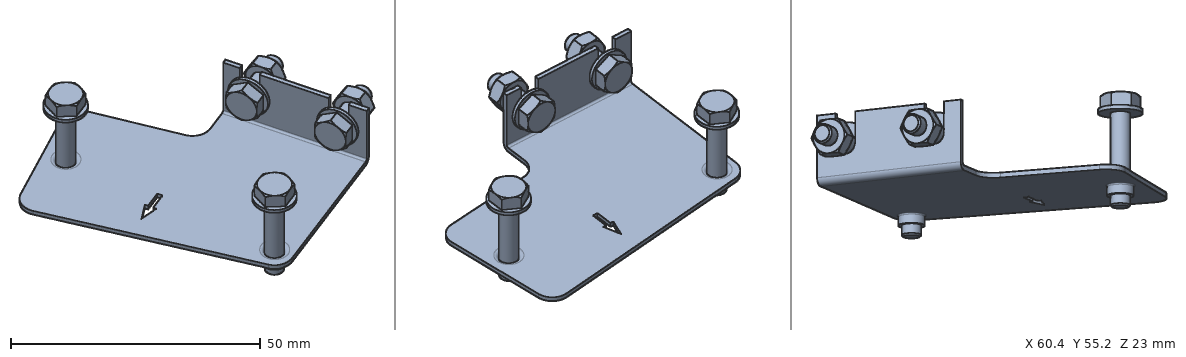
import cadquery as cq
import math


DIAGONAL = math.sqrt(0.5)

SHEET = 1.0
FLANGE_WIDTH = 32.35
FLANGE_HEIGHT = 14.25
BEND_INNER_RADIUS = 0.5
BEND_OUTER_RADIUS = BEND_INNER_RADIUS + SHEET

REAR_LEFT_CORNER = (-28.4, -13.7)
LEFT_EDGE_LENGTH = 32.05
SIDE_TILT = math.radians(7)
FRONT_TILT = math.radians(8)
CORNER_RADIUS = 4.0

ARROW_TAIL_Y = -29.0
ARROW_LENGTH = 8.15
ARROW_HEAD_LENGTH = 4.05
ARROW_HEAD_WIDTH = 2.6
ARROW_SHAFT_WIDTH = 1.15

SHANK_DIAMETER = 4.0
TIP_CHAMFER = 0.35
HEX_ACROSS_FLATS = 7.0
HEAD_HEIGHT = 2.95
NUT_HEIGHT = 3.2
WASHER_DIAMETER = 9.0
WASHER_THICKNESS = 0.8
HEX_BEVEL_ANGLE = math.radians(30)

PLATE_SCREW_LENGTH = 20.0
PLATE_SCREW_TIP_Z = -4.4
PLATE_SCREW_POSITIONS = [(-21.7, -28.05), (28.0, -33.35)]
COLLAR_DIAMETER = 5.4
COLLAR_HEIGHT = 2.1
COLLAR_FILLET = 0.3
COLLAR_ENTRY_RADIUS = SHEET

FLANGE_SCREW_LENGTH = 12.0
FLANGE_SCREW_Z = 7.9
FIRST_FLANGE_SCREW_X = 6.0
FLANGE_SCREW_PITCH = 20.0
FLANGE_SCREW_X = [FIRST_FLANGE_SCREW_X, FIRST_FLANGE_SCREW_X + FLANGE_SCREW_PITCH]
SLOT_WIDTH = 4.5
NUT_GAP = 4.05


def plate():
    """Flat plate with rounded corners, up to the start of the bend at its rear edge."""
    rear_left_x, rear_left_y = REAR_LEFT_CORNER
    inner_corner = (0, rear_left_y - rear_left_x * math.tan(SIDE_TILT))
    front_left = (
        rear_left_x + LEFT_EDGE_LENGTH * math.sin(SIDE_TILT),
        rear_left_y - LEFT_EDGE_LENGTH * math.cos(SIDE_TILT),
    )
    front_run = FLANGE_WIDTH - front_left[0]
    front_right = (FLANGE_WIDTH, front_left[1] + front_run * math.tan(FRONT_TILT))
    outline = [
        (0, -BEND_OUTER_RADIUS),
        inner_corner,
        REAR_LEFT_CORNER,
        front_left,
        front_right,
        (FLANGE_WIDTH, -BEND_OUTER_RADIUS),
    ]
    body = cq.Workplane("XY").polyline(outline).close().extrude(SHEET)
    return body.edges("|Z and (not >Y)").fillet(CORNER_RADIUS)


def flange():
    """Bend and upright flange, swept along X from their side profile."""
    bend_center = (-BEND_OUTER_RADIUS, BEND_OUTER_RADIUS)
    outer_mid = (
        bend_center[0] + BEND_OUTER_RADIUS * DIAGONAL,
        bend_center[1] - BEND_OUTER_RADIUS * DIAGONAL,
    )
    inner_mid = (
        bend_center[0] + BEND_INNER_RADIUS * DIAGONAL,
        bend_center[1] - BEND_INNER_RADIUS * DIAGONAL,
    )
    return (
        cq.Workplane("YZ")
        .moveTo(-BEND_OUTER_RADIUS, 0)
        .threePointArc(outer_mid, (0, BEND_OUTER_RADIUS))
        .lineTo(0, FLANGE_HEIGHT)
        .lineTo(-SHEET, FLANGE_HEIGHT)
        .lineTo(-SHEET, BEND_OUTER_RADIUS)
        .threePointArc(inner_mid, (-BEND_OUTER_RADIUS, SHEET))
        .close()
        .extrude(FLANGE_WIDTH)
    )


def slot(x):
    """Round-bottomed slot through the flange, open at its top edge."""
    height = FLANGE_HEIGHT - FLANGE_SCREW_Z
    round_bottom = cq.Workplane("XZ").center(x, FLANGE_SCREW_Z).circle(SLOT_WIDTH / 2).extrude(SHEET)
    straight = (
        cq.Workplane("XZ").center(x, FLANGE_SCREW_Z + height / 2).rect(SLOT_WIDTH, height).extrude(SHEET)
    )
    return round_bottom.union(straight)


def arrow():
    """Arrow-shaped opening through the plate."""
    neck_y = ARROW_TAIL_Y - ARROW_LENGTH + ARROW_HEAD_LENGTH
    half_shaft = ARROW_SHAFT_WIDTH / 2
    half_head = ARROW_HEAD_WIDTH / 2
    outline = [
        (-half_shaft, ARROW_TAIL_Y),
        (-half_shaft, neck_y),
        (-half_head, neck_y),
        (0, ARROW_TAIL_Y - ARROW_LENGTH),
        (half_head, neck_y),
        (half_shaft, neck_y),
        (half_shaft, ARROW_TAIL_Y),
    ]
    return cq.Workplane("XY").polyline(outline).close().extrude(SHEET)


def bevelled_hex(height, bevel_bottom):
    """Hexagon along Z with corners on the X axis, its corners bevelled by a cone."""
    flat_radius = HEX_ACROSS_FLATS / 2
    corner_radius = flat_radius / math.cos(math.pi / 6)
    bevel = (corner_radius - flat_radius) * math.tan(HEX_BEVEL_ANGLE)
    prism = cq.Workplane("XY").polygon(6, 2 * corner_radius).extrude(height)
    blank = cq.Workplane("XY").circle(corner_radius).extrude(height)
    ends = blank.faces("<Z or >Z") if bevel_bottom else blank.faces(">Z")
    return prism.intersect(ends.edges().chamfer(bevel, corner_radius - flat_radius))


def screw(length):
    """Hex screw with washer along Z: underside of the head at Z = 0, tip at Z = -length."""
    shank = cq.Workplane("XY").circle(SHANK_DIAMETER / 2).extrude(-length)
    shank = shank.faces("<Z").chamfer(TIP_CHAMFER)
    washer = cq.Workplane("XY").circle(WASHER_DIAMETER / 2).extrude(-WASHER_THICKNESS)
    head = bevelled_hex(HEAD_HEIGHT, False).rotate((0, 0, 0), (0, 0, 1), 90)
    return shank.union(washer).union(head)


def collar():
    """Round collar under the plate, filled up to its axis, with a fillet against the underside."""
    radius = COLLAR_DIAMETER / 2
    fillet_mid = COLLAR_FILLET * (1 - DIAGONAL)
    return (
        cq.Workplane("XZ")
        .lineTo(radius + COLLAR_FILLET, 0)
        .threePointArc((radius + fillet_mid, -fillet_mid), (radius, -COLLAR_FILLET))
        .lineTo(radius, -COLLAR_HEIGHT)
        .lineTo(0, -COLLAR_HEIGHT)
        .close()
        .revolve(360, (0, 0), (0, 1))
    )


def collar_entry():
    """Rounded mouth of the collar, narrowing from the top of the plate to the shank."""
    radius = SHANK_DIAMETER / 2
    arc_mid = COLLAR_ENTRY_RADIUS * (1 - DIAGONAL)
    return (
        cq.Workplane("XZ")
        .moveTo(0, SHEET)
        .lineTo(radius + COLLAR_ENTRY_RADIUS, SHEET)
        .threePointArc((radius + arc_mid, SHEET - arc_mid), (radius, SHEET - COLLAR_ENTRY_RADIUS))
        .lineTo(0, SHEET - COLLAR_ENTRY_RADIUS)
        .close()
        .revolve(360, (0, 0), (0, 1))
    )


def plate_screw():
    """Upright screw on the Z axis, at its height above and below the plate."""
    return screw(PLATE_SCREW_LENGTH).translate((0, 0, PLATE_SCREW_TIP_Z + PLATE_SCREW_LENGTH))


def flange_screw(x):
    """Horizontal screw with its washer against the flange and a nut behind it."""
    lying = screw(FLANGE_SCREW_LENGTH).rotate((0, 0, 0), (1, 0, 0), 90)
    lying = lying.translate((0, -SHEET - WASHER_THICKNESS, 0))
    nut = bevelled_hex(NUT_HEIGHT, True).rotate((0, 0, 0), (1, 0, 0), -90)
    return lying.union(nut.translate((0, NUT_GAP, 0))).translate((x, 0, FLANGE_SCREW_Z))


result = plate().union(flange()).cut(arrow())
for screw_x in FLANGE_SCREW_X:
    result = result.cut(slot(screw_x)).union(flange_screw(screw_x))
for screw_x, screw_y in PLATE_SCREW_POSITIONS:
    place = (screw_x, screw_y, 0)
    result = result.union(collar().translate(place))
    result = result.cut(collar_entry().translate(place))
    result = result.union(plate_screw().translate(place))